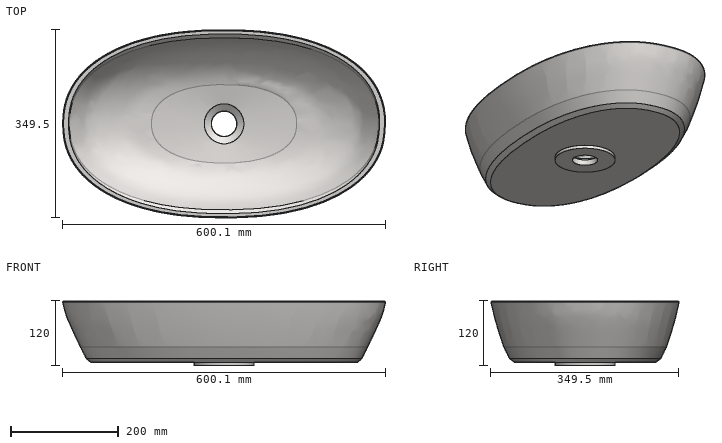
import cadquery as cq
import math

length = 600.0
width = 349.5
height = 120.0

fullness = 2.25
points_per_quarter = 8

foot_radius = 56.0
foot_height = 6.0

lip_height = 3.0
lip_round = 2.0
lip_base = height - lip_height
wall_levels = [
    (lip_base, 0.0, 0.0),
    (89.5, 8.0, 6.5),
    (62.5, 20.0, 14.5),
    (35.0, 33.0, 23.5),
]
base_levels = [
    wall_levels[-1],
    (13.0, 44.0, 34.0),
    (foot_height, 52.0, 44.0),
]

floor_level = 19.0
floor_opening = 35.0
rim_width = 11.0
rim_inner_width = 8.0
rim_round_depth = 7.0
rim_round_inset = (12.5, 15.0)
bowl_edge_level = height - rim_round_depth
bowl_levels = [
    (bowl_edge_level, *rim_round_inset),
    (98.5, 23.0, 21.0),
    (77.0, 38.5, 32.0),
    (61.0, 54.0, 43.0),
    (45.0, 84.0, 61.0),
    (35.0, 108.0, 76.0),
    (29.0, 135.0, 90.0),
    (26.0, 165.0, 102.0),
]
floor_levels = [
    bowl_levels[-1],
    (floor_level, length / 2 - floor_opening, width / 2 - floor_opening),
]

seat_radius = 36.5
drain_radius = 23.5
seat_depth = 8.5
seat_overcut = 2.0


def signed_power(value, exponent):
    return math.copysign(abs(value) ** exponent, value)


def outline(level):
    """Closed superellipse wire at one level, inset from the outer rim."""
    z, inset_x, inset_y = level
    half_x = length / 2 - inset_x
    half_y = width / 2 - inset_y
    count = 4 * points_per_quarter
    points = []
    for i in range(count):
        angle = 2 * math.pi * i / count
        x = half_x * signed_power(math.cos(angle), 2 / fullness)
        y = half_y * signed_power(math.sin(angle), 2 / fullness)
        points.append(cq.Vector(x, y, z))
    return cq.Wire.assembleEdges([cq.Edge.makeSpline(points, periodic=True)])


def loft(levels, straight=False):
    wires = [outline(level) for level in levels]
    return cq.Workplane(obj=cq.Solid.makeLoft(wires, straight))


def outer_body():
    lip = loft(
        [
            (lip_base, 0.0, 0.0),
            (height - lip_round, 0.0, 0.0),
            (height, lip_round, lip_round),
        ],
        straight=True,
    )
    foot = cq.Workplane().circle(foot_radius).extrude(floor_level)
    return loft(wall_levels).union(lip).union(loft(base_levels, straight=True)).union(foot)


def bowl_cavity():
    rim_edge = loft(
        [(height, rim_width, rim_inner_width), (bowl_edge_level, *rim_round_inset)],
        straight=True,
    )
    floor = loft(floor_levels, straight=True)
    return loft(bowl_levels).union(rim_edge).union(floor)


def drain_cutter():
    seat_bottom = floor_level - seat_depth
    top_radius = seat_radius + seat_overcut * (seat_radius - drain_radius) / seat_depth
    seat_top = floor_level + seat_overcut
    profile = [
        (0, 0),
        (drain_radius, 0),
        (drain_radius, seat_bottom),
        (top_radius, seat_top),
        (0, seat_top),
    ]
    return cq.Workplane("XZ").polyline(profile).close().revolve(360, (0, 0), (0, 1))


result = outer_body().cut(bowl_cavity()).cut(drain_cutter())